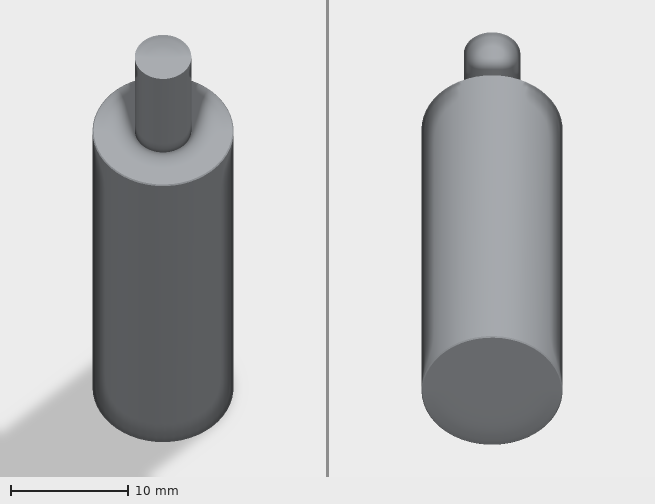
import cadquery as cq

total_length = 45.0
body_diameter = 12.0
body_length = 35.0
body_edge_chamfer = 0.1
pin_diameter = 4.8
pin_length = total_length - body_length

body = (
    cq.Workplane("XY")
    .circle(body_diameter / 2)
    .extrude(body_length)
    .faces("<Z or >Z")
    .edges()
    .chamfer(body_edge_chamfer)
)

pin = (
    cq.Workplane("XY")
    .workplane(offset=body_length)
    .circle(pin_diameter / 2)
    .extrude(pin_length)
)

result = body.union(pin)